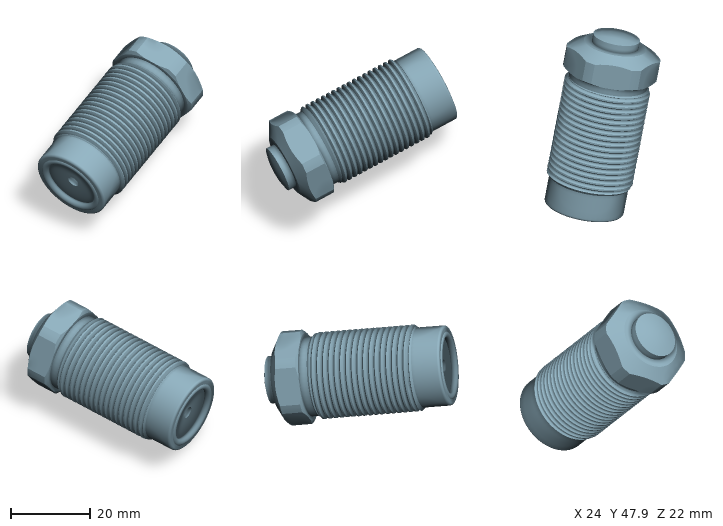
import cadquery as cq
import math

total_length = 47.9
end_face = 0.3
thread_start = 7.6
thread_end = 34.8
head_start = 36.8
head_end = 44.85

end_radius = 10.15
end_fillet = 0.6
neck_radius = 10.05

across_flats = 22.0
thread_radius = across_flats / 2
thread_root_radius = 10.1
ten_turns_length = 15.0
thread_pitch = ten_turns_length / 10
root_flat = 0.15
crest_flat = 0.45
foot_sink = 0.1
envelope_margin = 0.5
ridge_phase = 0.8

across_corners = 24.0
corner_radius = across_corners / 2
head_face_radius = 8.0
head_back_radius = 11.1
chamfer_slope = math.tan(math.radians(30))

bead_ring_radius = 7.9
bead_radius = 0.9
disc_depth = 1.65
vent_radius = 1.55
vent_depth = 4.8

button_radius = 6.0
dome_height = 0.95


def cylinder_along_y(radius, start, end):
    return cq.Workplane("XZ", origin=(0, start, 0)).circle(radius).extrude(start - end)


def revolve_about_y(profile):
    return profile.close().revolve(360, (0, 0, 0), (0, 1, 0))


def make_thread():
    """Left-handed threaded sleeve, with conical lead-ins at both ends."""
    envelope_radius = thread_radius + envelope_margin
    envelope = revolve_about_y(
        cq.Workplane("XY")
        .moveTo(0, thread_start)
        .lineTo(end_radius, thread_start)
        .lineTo(envelope_radius, thread_start + envelope_radius - end_radius)
        .lineTo(envelope_radius, thread_end - envelope_radius + neck_radius)
        .lineTo(neck_radius, thread_end)
        .lineTo(0, thread_end)
    )

    overrun = 3 * thread_pitch
    helix_height = thread_end - thread_start + overrun
    helix = cq.Wire.makeHelix(thread_pitch, helix_height, thread_root_radius, lefthand=True)
    half_crest = crest_flat / 2
    half_root = (thread_pitch - root_flat) / 2
    flank_slope = (half_root - half_crest) / (thread_radius - thread_root_radius)
    half_foot = half_root + foot_sink * flank_slope
    foot_radius = thread_root_radius - foot_sink
    ridge = (
        cq.Workplane("XZ")
        .moveTo(foot_radius, -half_foot)
        .lineTo(thread_radius, -half_crest)
        .lineTo(thread_radius, half_crest)
        .lineTo(foot_radius, half_foot)
        .close()
        .sweep(cq.Workplane(helix), isFrenet=True)
        .rotate((0, 0, 0), (1, 0, 0), -90)
        .translate((0, thread_start + ridge_phase - 2 * thread_pitch, 0))
    )
    core_start = thread_start - overrun
    core_end = thread_end + overrun
    core = cylinder_along_y(thread_root_radius, core_start, core_end)
    return core.union(ridge).intersect(envelope)


def make_head():
    """Hexagon with flats on +Z and -Z, turned to round corners and chamfered both ends."""
    hexagon = (
        cq.Workplane("XZ", origin=(0, head_start, 0))
        .polygon(6, across_flats / math.cos(math.radians(30)))
        .extrude(head_start - head_end)
    )
    front_chamfer = (corner_radius - head_face_radius) * chamfer_slope
    back_chamfer = (corner_radius - head_back_radius) * chamfer_slope
    turned = revolve_about_y(
        cq.Workplane("XY")
        .moveTo(0, head_start)
        .lineTo(head_back_radius, head_start)
        .lineTo(corner_radius, head_start + back_chamfer)
        .lineTo(corner_radius, head_end - front_chamfer)
        .lineTo(head_face_radius, head_end)
        .lineTo(0, head_end)
    )
    return hexagon.intersect(turned)


def make_closed_end():
    """Plain end with a recessed disc, a round bead around it and a central blind hole."""
    end = cylinder_along_y(end_radius, end_face, thread_start).faces("<Y").edges().fillet(end_fillet)
    recess = cylinder_along_y(bead_ring_radius, end_face, disc_depth)
    bead = cq.Workplane("XY").add(
        cq.Solid.makeTorus(bead_ring_radius, bead_radius, cq.Vector(0, bead_radius, 0), cq.Vector(0, 1, 0))
    )
    vent = cylinder_along_y(vent_radius, disc_depth, disc_depth + vent_depth)
    return end.cut(recess).union(bead).cut(vent)


def make_housing():
    neck = cylinder_along_y(neck_radius, thread_end, head_start)
    return make_closed_end().union(make_thread()).union(neck).union(make_head())


def make_button():
    """Domed button seated on the head face."""
    rim = total_length - dome_height
    dome_radius = (button_radius**2 + dome_height**2) / (2 * dome_height)
    half_angle = math.asin(button_radius / dome_radius) / 2
    dome_mid = (
        dome_radius * math.sin(half_angle),
        total_length - dome_radius * (1 - math.cos(half_angle)),
    )
    return revolve_about_y(
        cq.Workplane("XY")
        .moveTo(0, head_end)
        .lineTo(button_radius, head_end)
        .lineTo(button_radius, rim)
        .threePointArc(dome_mid, (0, total_length))
    )


housing = make_housing()
button = make_button()

result = cq.Compound.makeCompound([housing.val(), button.val()])